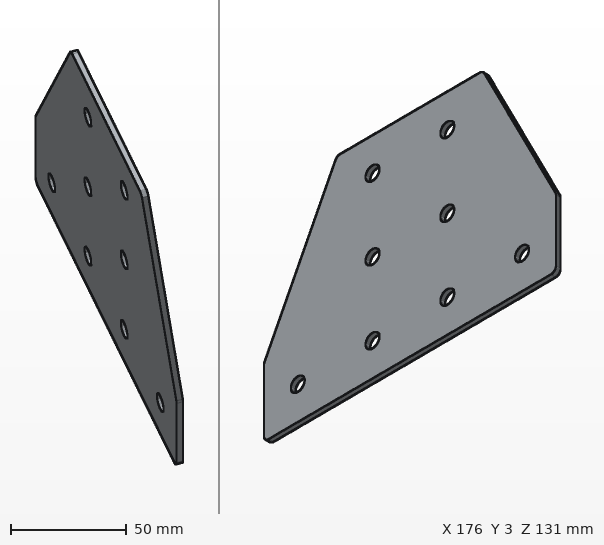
import cadquery as cq

hole_pitch = 45.0
edge_margin = 20.5
thickness = 3.0
hole_diameter = 8.3
corner_radius = 3.0
top_width = 88.0
side_height = 42.0
bottom_row_holes = 4
column_holes = 3

width = (bottom_row_holes - 1) * hole_pitch + 2 * edge_margin
height = (column_holes - 1) * hole_pitch + 2 * edge_margin


def make_plate():
    """Upright plate with a rectangular base, tapered sides and rounded corners."""
    outline = [
        (-width / 2, 0),
        (width / 2, 0),
        (width / 2, side_height),
        (top_width / 2, height),
        (-top_width / 2, height),
        (-width / 2, side_height),
    ]
    plate = cq.Workplane("XZ").polyline(outline).close().extrude(thickness)
    return plate.edges("|Y").fillet(corner_radius)


def hole_positions():
    """Full bottom row, with only the two middle columns in the rows above."""
    positions = []
    for row in range(column_holes):
        for column in range(bottom_row_holes):
            is_middle = 0 < column < bottom_row_holes - 1
            if row == 0 or is_middle:
                x = -width / 2 + edge_margin + column * hole_pitch
                z = edge_margin + row * hole_pitch
                positions.append((x, z))
    return positions


def make_holes():
    """Cylinders that pass through the whole thickness."""
    return (
        cq.Workplane("XZ")
        .pushPoints(hole_positions())
        .circle(hole_diameter / 2)
        .extrude(thickness)
    )


result = make_plate().cut(make_holes())